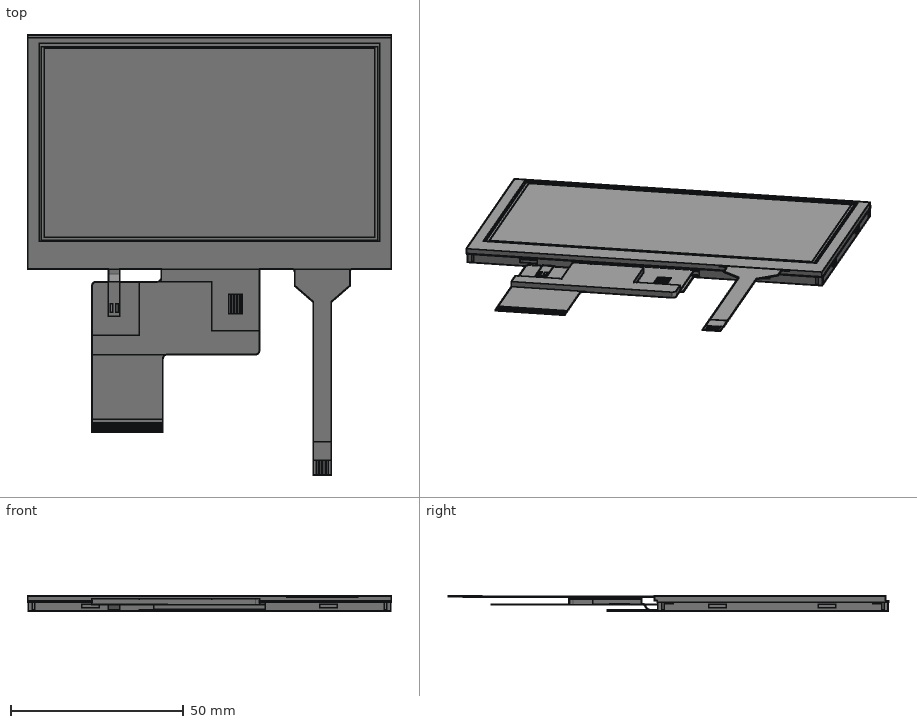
import cadquery as cq

WIDTH = 105.45
FRAME_LENGTH = 67.15
OVERALL_LENGTH = 127.73
OVERALL_HEIGHT = 4.47

FRAME_HEIGHT = 3.05
LIP_HEIGHT = 0.5
WALL_INSET = 0.15
FRAME_FRONT = -FRAME_LENGTH / 2
FRAME_BACK = FRAME_LENGTH / 2
WALL_TOP = FRAME_HEIGHT - LIP_HEIGHT
WALL_FRONT = FRAME_FRONT + WALL_INSET

CORNER_SLOT_OFFSET = 1.7
CORNER_SLOT_WIDTH = 0.7
CORNER_SLOT_BOTTOM = 0.35
SIDE_NOTCH_LENGTH = 3.0
SIDE_NOTCH_HEIGHT = 0.35
WALL_CUT_DEPTH = 0.3

LATCH_LENGTH = 5.1
LATCH_HEIGHT = 0.95
LATCH_Z = 1.5
LATCH_X = 34.45
LATCH_PITCH_Y = 31.7
LATCH_CENTRE_Y = -0.2

PANEL_BACK = FRAME_BACK - 0.9
PANEL_FRONT = FRAME_FRONT - 0.8

WINDOWS = [
    (98.7, 57.4, 2.35),
    (97.5, 56.1, 2.0),
    (95.7, 54.8, 2.3),
]
WINDOW_STEP = 0.05

TOUCH_X = 32.7
TOUCH_WIDTH = 5.3
TOUCH_SHOULDER_WIDTH = 16.1
TOUCH_ROOT_WIDTH = 20.7
TOUCH_ROOT_DEPTH = 2.0
TOUCH_ROOT_PROUD = 0.04
TOUCH_FLARE = 0.6
TOUCH_TAPER_START = -39.2
TOUCH_TAPER_END = -43.9
TOUCH_END = FRAME_BACK - OVERALL_LENGTH
TOUCH_TOP = OVERALL_HEIGHT - 0.1
TOUCH_FILM = 0.3
TOUCH_STIFFENER_START = -84.4
TOUCH_STIFFENER_RISE = 0.05
TOUCH_CONTACT_LENGTH = 4.4
TOUCH_CONTACT_THINNING = 0.2
TOUCH_CONTACT_COUNT = 4
TOUCH_CONTACT_PITCH = 1.0
TOUCH_CONTACT_WIDTH = 0.6

FLEX_LEFT = -34.1
FLEX_RIGHT = 14.5
FLEX_BACK = -38.05
FLEX_NECK_LEFT = -14.0
FLEX_BOTTOM = 1.85
FLEX_THICKNESS = 0.2
FLEX_TOP = FLEX_BOTTOM + FLEX_THICKNESS
FLEX_TAIL_WIDTH = 20.6
FLEX_TAIL_END = -81.7
FLEX_ROUNDING = 1.2
FLEX_OPENING_LEFT = -16.1
FLEX_OPENING_RIGHT = 16.1
FLEX_OPENING_DEPTH = 0.8
FLEX_OPENING_BOTTOM = 0.5

BOARD_FRONT = -59.2
BOARD_TOP = 3.6
LEFT_NOTCH_X = -20.4
LEFT_NOTCH_Y = -53.5
RIGHT_NOTCH_X = 0.7
RIGHT_NOTCH_Y = -52.3

PAD_HEIGHT = 0.05
CONTACT_COUNT = 40
CONTACT_PITCH = 0.5
CONTACT_WIDTH = 0.3
COVER_END = -77.9
CONTACT_BACK = -79.0

SOLDER_PAD_COUNT = 5
SOLDER_PAD_PITCH = 0.85
SOLDER_PAD_WIDTH = 0.5
SOLDER_PAD_X = 7.6
SOLDER_PAD_BACK = -41.7
SOLDER_PAD_FRONT = -47.3

LEAD_LEFT = -29.3
LEAD_RIGHT = -26.0
LEAD_END = -48.0
LEAD_BOTTOM = 0.3
LEAD_THICKNESS = 0.15
LEAD_RAMP_START = -35.7
LEAD_PAD_COUNT = 2
LEAD_PAD_WIDTH = 0.8
LEAD_PAD_PITCH = 1.6
LEAD_PAD_BACK = -44.5
LEAD_PAD_FRONT = -46.9
PLATE_THICKNESS = 0.4


def block(x_range, y_range, z_range):
    """Rectangular block between the given limits."""
    size = [high - low for low, high in (x_range, y_range, z_range)]
    return cq.Workplane("XY").box(*size, centered=False).translate((x_range[0], y_range[0], z_range[0]))


def centred_block(length_x, length_y, z_range, x=0, y=0):
    """Rectangular block centred on (x, y)."""
    return block((x - length_x / 2, x + length_x / 2), (y - length_y / 2, y + length_y / 2), z_range)


def make_pad_row(centre_x, count, pitch, width, y_range, base):
    """Row of equally pitched pads standing on the given height."""
    front, back = y_range
    first = centre_x - (count - 1) / 2 * pitch
    centres = [(first + i * pitch, (front + back) / 2) for i in range(count)]
    outlines = cq.Workplane("XY", origin=(0, 0, base)).pushPoints(centres).rect(width, back - front)
    return outlines.extrude(PAD_HEIGHT)


def make_frame():
    frame = centred_block(WIDTH, FRAME_LENGTH, (WALL_TOP, FRAME_HEIGHT))
    frame = frame.union(centred_block(WIDTH - 2 * WALL_INSET, FRAME_LENGTH - 2 * WALL_INSET, (0, WALL_TOP)))
    cut = 2 * WALL_CUT_DEPTH
    latch_z = (LATCH_Z - LATCH_HEIGHT / 2, LATCH_Z + LATCH_HEIGHT / 2)
    slot_z = (CORNER_SLOT_BOTTOM, WALL_TOP)
    notch_z = (WALL_TOP - SIDE_NOTCH_HEIGHT, WALL_TOP)
    for side in (-1, 1):
        for end in (-1, 1):
            slot_x = side * (WIDTH / 2 - CORNER_SLOT_OFFSET)
            slot_y = end * (FRAME_LENGTH / 2 - CORNER_SLOT_OFFSET)
            notch_y = slot_y - end * SIDE_NOTCH_LENGTH / 2
            latch_y = LATCH_CENTRE_Y + end * LATCH_PITCH_Y / 2
            wall_x = side * WIDTH / 2
            wall_y = end * FRAME_LENGTH / 2
            frame = frame.cut(centred_block(CORNER_SLOT_WIDTH, cut, slot_z, slot_x, wall_y))
            frame = frame.cut(centred_block(cut, CORNER_SLOT_WIDTH, slot_z, wall_x, slot_y))
            frame = frame.cut(centred_block(cut, SIDE_NOTCH_LENGTH, notch_z, wall_x, notch_y))
            frame = frame.cut(centred_block(LATCH_LENGTH, cut, latch_z, side * LATCH_X, wall_y))
            frame = frame.cut(centred_block(cut, LATCH_LENGTH, latch_z, wall_x, latch_y))
    opening = block(
        (FLEX_OPENING_LEFT, FLEX_OPENING_RIGHT),
        (FRAME_FRONT, WALL_FRONT + FLEX_OPENING_DEPTH),
        (FLEX_OPENING_BOTTOM, WALL_TOP),
    )
    return frame.cut(opening)


def make_touch_panel():
    panel = block((-WIDTH / 2, WIDTH / 2), (PANEL_FRONT, PANEL_BACK), (FRAME_HEIGHT, OVERALL_HEIGHT))
    for level, (length_x, length_y, centre_y) in enumerate(WINDOWS, start=1):
        floor = OVERALL_HEIGHT - level * WINDOW_STEP
        panel = panel.cut(centred_block(length_x, length_y, (floor, OVERALL_HEIGHT), 0, centre_y))
    return panel


def make_touch_tail():
    half_width = TOUCH_WIDTH / 2
    half_shoulder = TOUCH_SHOULDER_WIDTH / 2
    half_flare = half_shoulder + TOUCH_FLARE
    half_root = TOUCH_ROOT_WIDTH / 2
    bottom = TOUCH_TOP - TOUCH_FILM
    root_back = PANEL_FRONT + TOUCH_ROOT_DEPTH
    root_front = PANEL_FRONT - TOUCH_ROOT_PROUD
    flare_front = root_front - TOUCH_FLARE
    tail = (
        cq.Workplane("XY", origin=(TOUCH_X, 0, bottom))
        .moveTo(-half_root, root_back)
        .lineTo(-half_root, root_front)
        .lineTo(-half_flare, root_front)
        .radiusArc((-half_shoulder, flare_front), TOUCH_FLARE)
        .lineTo(-half_shoulder, TOUCH_TAPER_START)
        .lineTo(-half_width, TOUCH_TAPER_END)
        .lineTo(-half_width, TOUCH_END)
        .lineTo(half_width, TOUCH_END)
        .lineTo(half_width, TOUCH_TAPER_END)
        .lineTo(half_shoulder, TOUCH_TAPER_START)
        .lineTo(half_shoulder, flare_front)
        .radiusArc((half_flare, root_front), TOUCH_FLARE)
        .lineTo(half_root, root_front)
        .lineTo(half_root, root_back)
        .close()
        .extrude(TOUCH_FILM)
    )
    tail_x = (TOUCH_X - half_width, TOUCH_X + half_width)
    stiffener_z = (TOUCH_TOP, TOUCH_TOP + TOUCH_STIFFENER_RISE)
    contact_y = (TOUCH_END, TOUCH_END + TOUCH_CONTACT_LENGTH)
    thinned_bottom = bottom + TOUCH_CONTACT_THINNING
    contacts = make_pad_row(
        TOUCH_X,
        TOUCH_CONTACT_COUNT,
        TOUCH_CONTACT_PITCH,
        TOUCH_CONTACT_WIDTH,
        contact_y,
        thinned_bottom - PAD_HEIGHT,
    )
    tail = tail.union(block(tail_x, (TOUCH_END, TOUCH_STIFFENER_START), stiffener_z))
    tail = tail.cut(block(tail_x, contact_y, (bottom, thinned_bottom)))
    return tail.union(contacts)


def make_main_flex():
    root = WALL_FRONT + FLEX_OPENING_DEPTH
    tail_right = FLEX_LEFT + FLEX_TAIL_WIDTH
    flex = (
        cq.Workplane("XY", origin=(0, 0, FLEX_BOTTOM))
        .moveTo(FLEX_NECK_LEFT, root)
        .lineTo(FLEX_NECK_LEFT, FLEX_BACK + FLEX_ROUNDING)
        .radiusArc((FLEX_NECK_LEFT - FLEX_ROUNDING, FLEX_BACK), FLEX_ROUNDING)
        .lineTo(FLEX_LEFT + FLEX_ROUNDING, FLEX_BACK)
        .radiusArc((FLEX_LEFT, FLEX_BACK - FLEX_ROUNDING), -FLEX_ROUNDING)
        .lineTo(FLEX_LEFT, FLEX_TAIL_END)
        .lineTo(tail_right, FLEX_TAIL_END)
        .lineTo(tail_right, BOARD_FRONT - FLEX_ROUNDING)
        .radiusArc((tail_right + FLEX_ROUNDING, BOARD_FRONT), FLEX_ROUNDING)
        .lineTo(FLEX_RIGHT - FLEX_ROUNDING, BOARD_FRONT)
        .radiusArc((FLEX_RIGHT, BOARD_FRONT + FLEX_ROUNDING), -FLEX_ROUNDING)
        .lineTo(FLEX_RIGHT, root)
        .close()
        .extrude(FLEX_THICKNESS)
    )
    root_sheet = block((FLEX_OPENING_LEFT, FLEX_OPENING_RIGHT), (WALL_FRONT, root), (FLEX_BOTTOM, FLEX_TOP))
    bare_x = (FLEX_LEFT, tail_right)
    bare_z = (FLEX_TOP - PAD_HEIGHT, FLEX_TOP)
    flex = flex.cut(block(bare_x, (FLEX_TAIL_END, COVER_END), bare_z))
    contacts = make_pad_row(
        FLEX_LEFT + FLEX_TAIL_WIDTH / 2,
        CONTACT_COUNT,
        CONTACT_PITCH,
        CONTACT_WIDTH,
        (FLEX_TAIL_END, CONTACT_BACK),
        FLEX_TOP - PAD_HEIGHT,
    )
    solder_pads = make_pad_row(
        SOLDER_PAD_X,
        SOLDER_PAD_COUNT,
        SOLDER_PAD_PITCH,
        SOLDER_PAD_WIDTH,
        (SOLDER_PAD_FRONT, SOLDER_PAD_BACK),
        FLEX_TOP,
    )
    return flex.union(root_sheet).union(contacts).union(solder_pads)


def make_board():
    """Stiffening board on the flex, notched at its two back corners."""
    return (
        cq.Workplane("XY", origin=(0, 0, FLEX_TOP))
        .moveTo(LEFT_NOTCH_X, FLEX_BACK)
        .lineTo(LEFT_NOTCH_X, LEFT_NOTCH_Y)
        .lineTo(FLEX_LEFT, LEFT_NOTCH_Y)
        .lineTo(FLEX_LEFT, BOARD_FRONT)
        .lineTo(FLEX_RIGHT - FLEX_ROUNDING, BOARD_FRONT)
        .radiusArc((FLEX_RIGHT, BOARD_FRONT + FLEX_ROUNDING), -FLEX_ROUNDING)
        .lineTo(FLEX_RIGHT, RIGHT_NOTCH_Y)
        .lineTo(RIGHT_NOTCH_X, RIGHT_NOTCH_Y)
        .lineTo(RIGHT_NOTCH_X, FLEX_BACK)
        .close()
        .extrude(BOARD_TOP - FLEX_TOP)
    )


def make_backlight_lead():
    """Strip leaving the back of the frame and bending smoothly up onto the main flex."""
    outward = (-1, 0)
    inward = (1, 0)
    lead = (
        cq.Workplane("YZ", origin=(LEAD_LEFT, 0, 0))
        .moveTo(WALL_FRONT, LEAD_BOTTOM)
        .lineTo(LEAD_RAMP_START, LEAD_BOTTOM)
        .spline([(FLEX_BACK, FLEX_TOP)], tangents=[outward, outward], includeCurrent=True)
        .lineTo(LEAD_END, FLEX_TOP)
        .lineTo(LEAD_END, FLEX_TOP + LEAD_THICKNESS)
        .lineTo(FLEX_BACK, FLEX_TOP + LEAD_THICKNESS)
        .spline(
            [(LEAD_RAMP_START, LEAD_BOTTOM + LEAD_THICKNESS)],
            tangents=[inward, inward],
            includeCurrent=True,
        )
        .lineTo(WALL_FRONT, LEAD_BOTTOM + LEAD_THICKNESS)
        .close()
        .extrude(LEAD_RIGHT - LEAD_LEFT)
    )
    pads = make_pad_row(
        (LEAD_LEFT + LEAD_RIGHT) / 2,
        LEAD_PAD_COUNT,
        LEAD_PAD_PITCH,
        LEAD_PAD_WIDTH,
        (LEAD_PAD_FRONT, LEAD_PAD_BACK),
        FLEX_TOP + LEAD_THICKNESS,
    )
    return lead.union(pads)


def make_support_plate():
    """L-shaped plate below the flex: a neck from the frame and a wider pad under the board."""
    plate_z = (0, PLATE_THICKNESS)
    neck = block((FLEX_NECK_LEFT, FLEX_RIGHT), (FLEX_BACK, WALL_FRONT), plate_z)
    pad = block((LEFT_NOTCH_X, FLEX_RIGHT), (LEAD_END, FLEX_BACK), plate_z)
    return neck.union(pad)


result = (
    make_frame()
    .union(make_touch_panel())
    .union(make_touch_tail())
    .union(make_main_flex())
    .union(make_board())
    .union(make_backlight_lead())
    .union(make_support_plate())
)